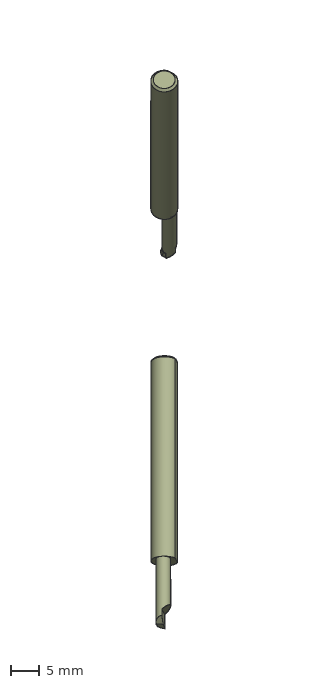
import cadquery as cq
import math

total_length = 50.8
shank_radius = 2.4
shank_bottom = 12.6
flat_y = 2.15
chamfer_width = 0.45
chamfer_height = 0.4

neck_radius = 1.3
neck_x = shank_radius - neck_radius

runout_bottom = 2.55
runout_top = 3.7

tooth_height = 1.5
tooth_lean = 0.4
back_depth = 1.2
back_bulge = 0.15
back_left_x = 0.65
back_right_x = 1.15
bottom_rise = 0.15
clearance_angle = 5.0
bevel_top = 1.35

margin = 1.0


def make_shank():
    length = total_length - shank_bottom
    profile = [
        (0, 0),
        (shank_radius, 0),
        (shank_radius, length - chamfer_height),
        (shank_radius - chamfer_width, length),
        (0, length),
    ]
    shank = cq.Workplane("XZ").polyline(profile).close().revolve(360, (0, 0), (0, 1))
    flat_cut = cq.Workplane("XY").box(
        4 * shank_radius, shank_radius, 3 * length, centered=(True, False, True)
    ).translate((0, flat_y, 0))
    return shank.cut(flat_cut).translate((0, 0, shank_bottom))


def make_neck():
    neck = cq.Workplane("XY").center(neck_x, 0).circle(neck_radius).extrude(shank_bottom)

    slope = (runout_top - runout_bottom) / neck_radius
    outer_y = neck_radius + margin
    rake_profile = [
        (0, -margin),
        (outer_y, -margin),
        (outer_y, runout_bottom + slope * outer_y),
        (0, runout_bottom),
    ]
    rake_cut = cq.Workplane("YZ").polyline(rake_profile).close().extrude(4 * shank_radius, both=True)

    tooth_space = cq.Workplane("XY").box(
        4 * neck_radius, 4 * neck_radius, tooth_height, centered=(False, True, False)
    ).translate((back_right_x - 4 * neck_radius, 0, 0))
    return neck.cut(rake_cut).cut(tooth_space)


def tooth_outline(plane, shift):
    """Outline with a curved back from the cutting edge to the flat back, moved along X by shift."""
    edge_x = neck_x - neck_radius
    width = back_left_x - edge_x
    chord = math.hypot(width, back_depth)
    middle = (
        edge_x + width / 2 - back_bulge * back_depth / chord + shift,
        -back_depth / 2 - back_bulge * width / chord,
    )
    return (
        plane.moveTo(edge_x + shift, 0)
        .threePointArc(middle, (back_left_x + shift, -back_depth))
        .lineTo(back_right_x, -back_depth)
        .lineTo(back_right_x, 0)
        .close()
    )


def make_tooth():
    bottom = tooth_outline(cq.Workplane("XY"), -tooth_lean)
    return tooth_outline(bottom.workplane(offset=tooth_height), 0).loft(ruled=True, combine=True)


def end_clearance_cut():
    """Material below the end face, which rises toward +X and toward -Y."""
    tip_x = neck_x - neck_radius - tooth_lean
    edge_angle = math.degrees(math.atan2(bottom_rise, back_right_x - tip_x))
    size = 4 * shank_radius
    block = cq.Workplane("XY").box(size, size, size).translate((0, 0, -size / 2))
    block = block.rotate((0, 0, 0), (1, 0, 0), -clearance_angle)
    block = block.rotate((0, 0, 0), (0, 1, 0), -edge_angle)
    return block.translate((tip_x, 0, 0))


def bevel_cut():
    side_x = shank_radius
    corner = [
        (side_x - bevel_top - margin, -margin),
        (side_x + margin, -margin),
        (side_x + margin, bevel_top + margin),
    ]
    return cq.Workplane("XZ").polyline(corner).close().extrude(2 * neck_radius, both=True)


cutter = make_neck().union(make_tooth()).cut(end_clearance_cut()).cut(bevel_cut())
result = make_shank().union(cutter)